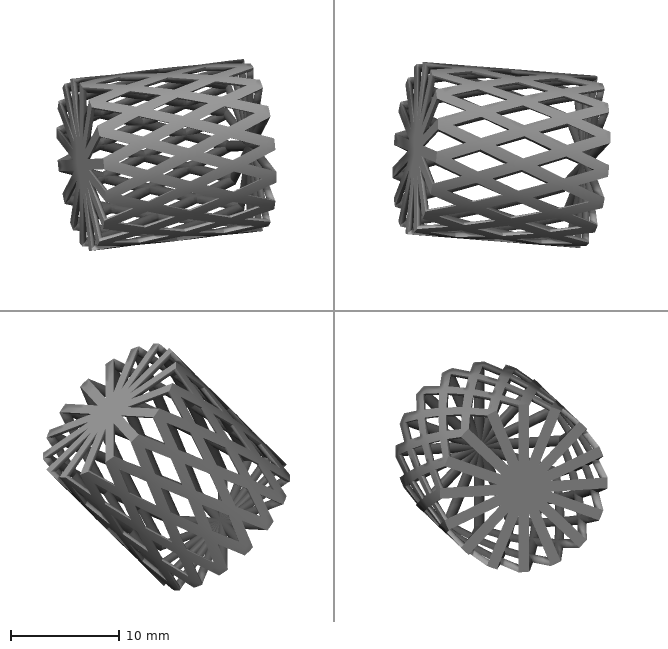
import cadquery as cq
import math

length = 16.5
outer_radius = 8.0
rod_diameter = 1.0
spoke_count = 16
strand_twist = 45.0

rod_radius = rod_diameter / 2
spoke_pitch = 360.0 / spoke_count
cell_angle = spoke_pitch / 2
cell_height = length * cell_angle / strand_twist
overshoot = cell_height / 2


def make_wedge(height):
    """Sector of the outer envelope from the XZ plane to the cell angle."""
    half_angle = math.radians(cell_angle / 2)
    full_angle = math.radians(cell_angle)
    return (
        cq.Workplane("XY")
        .lineTo(outer_radius, 0)
        .threePointArc(
            (outer_radius * math.cos(half_angle), outer_radius * math.sin(half_angle)),
            (outer_radius * math.cos(full_angle), outer_radius * math.sin(full_angle)),
        )
        .close()
        .extrude(height)
    )


def make_strand():
    """Helical rod crossing the cell diagonally, from angle zero at its base."""
    lead = length * 360.0 / strand_twist
    path = cq.Wire.makeHelix(lead, cell_height + 2 * overshoot, outer_radius)
    tangent = (0, 2 * math.pi * outer_radius, lead)
    start_plane = cq.Plane(origin=(outer_radius, 0, 0), xDir=(1, 0, 0), normal=tangent)
    strand = cq.Workplane(start_plane).circle(rod_radius).sweep(cq.Workplane(obj=path), isFrenet=True)
    overshoot_twist = strand_twist * overshoot / length
    return strand.translate((0, 0, -overshoot)).rotate((0, 0, 0), (0, 0, 1), -overshoot_twist)


def make_spoke():
    """Radial rod centred on the upper end plane, running outward from the axis."""
    return (
        cq.Workplane("YZ")
        .center(0, length / 2)
        .circle(rod_radius)
        .extrude(outer_radius + rod_radius)
    )


cell = make_strand().intersect(make_wedge(cell_height))
upper_cell = cell.mirror("XY", (0, 0, cell_height))
spoke = make_spoke().intersect(make_wedge(length / 2))
quarter_sector = cell.union(upper_cell).union(spoke)
half_sector = quarter_sector.union(quarter_sector.mirror("XY"))

sector = half_sector.union(half_sector.mirror("XZ"))

sectors = [sector.rotate((0, 0, 0), (0, 0, 1), i * spoke_pitch).val() for i in range(spoke_count)]

basket = sectors[0].fuse(*sectors[1:], glue=True).clean()
result = cq.Workplane(obj=basket.Solids()[0]).rotate((0, 0, 0), (1, 0, 0), 90)